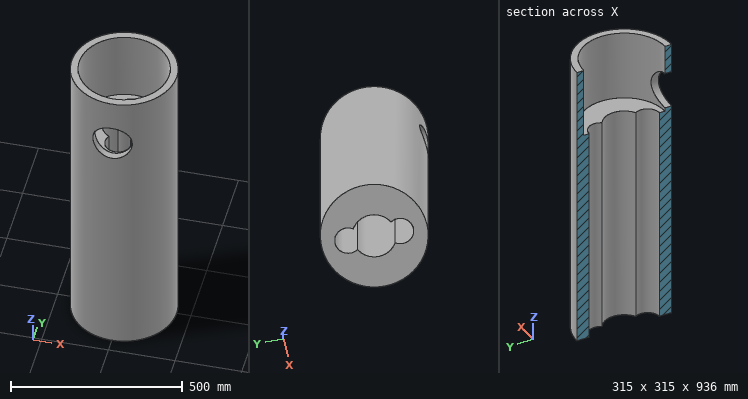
import cadquery as cq

height = 936.0
outer_diameter = 315.0
bore_diameter = 270.0

floor_height = 710.0
center_hole_diameter = 129.0
side_hole_diameter = 78.0
side_hole_offset = 78.0

window_diameter = 118.0
window_height = 781.0


def make_body():
    """Cylinder bored from the top down to the bore floor."""
    body = cq.Workplane("XY").circle(outer_diameter / 2).extrude(height)
    bore = (
        cq.Workplane("XY", origin=(0, 0, floor_height))
        .circle(bore_diameter / 2)
        .extrude(height - floor_height)
    )
    return body.cut(bore)


def make_floor_opening():
    """Central hole merged with a smaller hole on each side along Y."""
    opening = cq.Workplane("XY").circle(center_hole_diameter / 2).extrude(floor_height)
    for side in (-1, 1):
        side_hole = (
            cq.Workplane("XY")
            .center(0, side * side_hole_offset)
            .circle(side_hole_diameter / 2)
            .extrude(floor_height)
        )
        opening = opening.union(side_hole)
    return opening


def make_window():
    """Horizontal cylinder running from the axis out through the -Y wall."""
    return (
        cq.Workplane("XZ", origin=(0, 0, window_height))
        .circle(window_diameter / 2)
        .extrude(outer_diameter)
    )


result = make_body().cut(make_floor_opening()).cut(make_window())